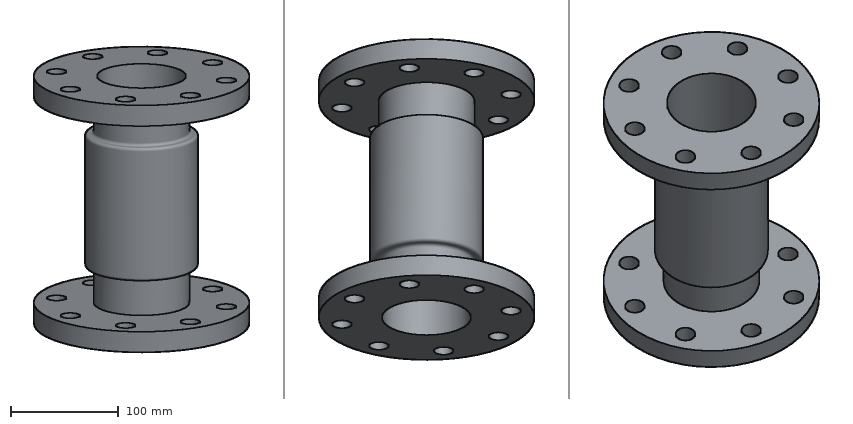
import cadquery as cq

length = 238.0
flange_diameter = 200.0
flange_thickness = 20.0

bore_diameter = 82.3
neck_diameter = 89.0
sleeve_diameter = 105.0
sleeve_length = 128.0
shoulder_radius = 2.9

bolt_count = 8
bolt_hole_diameter = 18.0
bolt_circle_diameter = 160.0


def centred_cylinder(diameter, height):
    return cq.Workplane("XY").cylinder(height, diameter / 2)


def sleeved_tube():
    """Neck with its sleeve; the sleeve rims are rounded and blend into the neck."""
    neck = centred_cylinder(neck_diameter, length)
    sleeve = centred_cylinder(sleeve_diameter, sleeve_length)
    shoulder_edges = "%CIRCLE and (not >Z) and (not <Z)"
    return neck.union(sleeve).edges(shoulder_edges).fillet(shoulder_radius)


def end_flanges():
    """A disc flush with each end of the part."""
    disc = centred_cylinder(flange_diameter, flange_thickness)
    offset = (length - flange_thickness) / 2
    return disc.translate((0, 0, offset)).add(disc.translate((0, 0, -offset))).combine()


def bolt_holes():
    """Cutters long enough to pass through both flanges."""
    half_pitch = 180 / bolt_count
    return (
        cq.Workplane("XY")
        .polarArray(bolt_circle_diameter / 2, half_pitch, 360, bolt_count)
        .circle(bolt_hole_diameter / 2)
        .extrude(length / 2, both=True)
    )


bore = centred_cylinder(bore_diameter, length)
result = sleeved_tube().union(end_flanges()).cut(bore).cut(bolt_holes())